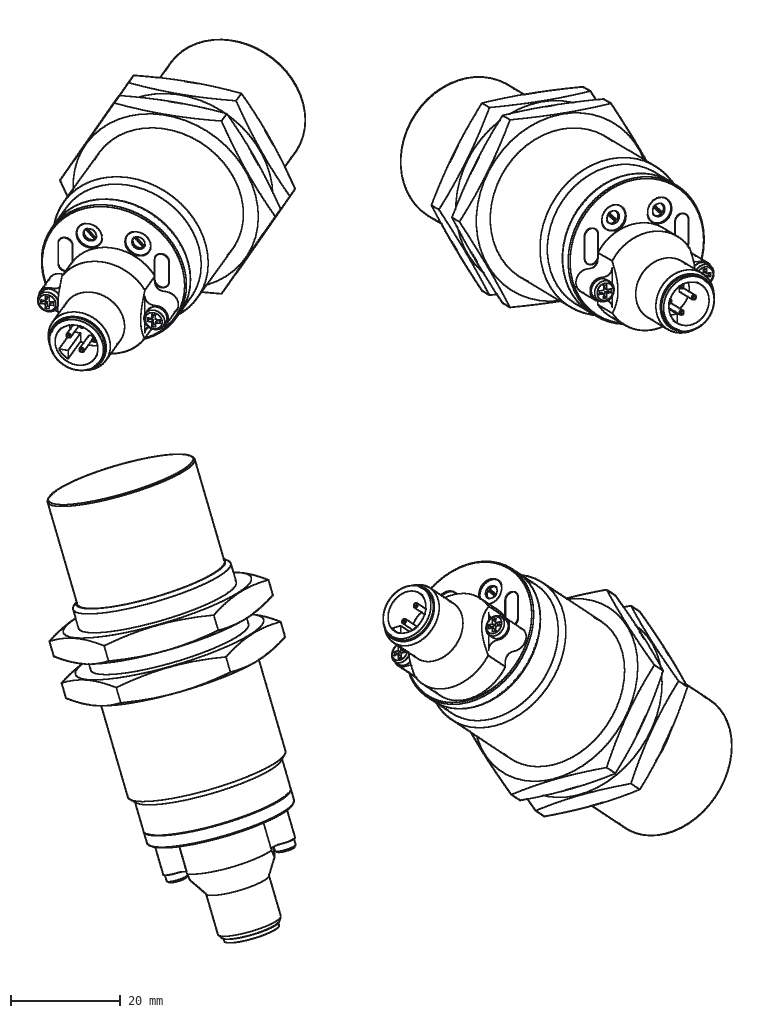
import cadquery as cq
import math


TOTAL_LENGTH = 87.0
HEAD_LENGTH = 20.0
REAR_FACE_Y = 20.5
CAP_LENGTH = 2.4
REAR_NECK_LENGTH = 8.4
CONE_BASE_Y = 15.0
CONE_TOP_Y = 9.5

TUBE_DIA = 30.0
HEAD_DIA = 28.0
SHOULDER_DIA = 28.4
SHOULDER_CHAMFER_LENGTH = 0.7
NECK_DIA = 28.0
NECK_CHAMFER = (TUBE_DIA - NECK_DIA) / 2
RIM_CHAMFER = 0.3
GROOVE_WIDTH = 0.1
GROOVE_DIA = 27.5

CONNECTOR_Z = -4.2
BARREL_DIA = 12.0
TIP_DIA = 10.4
TIP_LENGTH = 0.8
TIP_CHAMFER_DIA = 11.0
TIP_CHAMFER_LENGTH = 0.8
SOCKET_DIA = 8.3
SOCKET_DEPTH = 7.8
PIN_DIA = 1.0
PIN_CIRCLE_RADIUS = 2.5
PIN_COUNT = 4
PIN_RECESS = 2.7
PIN_CHAMFER = 0.22
KEY_OFFSET = 1.9
KEY_RECESS = 0.9

BLOCK_DIA = 19.0
BLOCK_WIDTH = 16.0
BLOCK_RISE = 0.2
CONE_BASE_RADIUS = BLOCK_DIA / 2

EAR_X = 10.3
EAR_RADIUS = 2.3
EAR_FILLET = 1.6
SCREW_DIA = 4.0
SCREW_HEAD_HEIGHT = 1.65
SCREW_CHAMFER = 0.35
CROSS_SPAN = 2.4
CROSS_ARM_WIDTH = 0.7
CROSS_DEPTH = 0.9

WINDOW_X = 9.3
WINDOW_Z = 2.3
WINDOW_WIDTH = 2.8
WINDOW_HEIGHT = 7.0
WINDOW_DEPTH = 0.2

ADJUSTER_X = 4.7
ADJUSTER_Z = 7.05
ADJUSTER_RECESS_DIA = 5.0
ADJUSTER_RECESS_DEPTH = 0.35
ADJUSTER_HOLE_DIA = 2.5
ADJUSTER_HOLE_DEPTH = 0.5
DRIVER_SLOT_WIDTH = 0.35
DRIVER_SLOT_DEPTH = 0.4
DRIVER_SLOT_ANGLE = 45

NUT_SIDES = 6
NUT_ACROSS_FLATS = 36.0
NUT_ACROSS_CORNERS = NUT_ACROSS_FLATS / math.cos(math.pi / NUT_SIDES)
NUT_THICKNESS = 5.05
NUT_FACE_DIA = 35.8
NUT_CHAMFER_HEIGHT = 1.05
NUT_START_POSITIONS = (49.5, 57.6)

SIDES = (-1, 1)


def plane_at(y, x=0.0, z=0.0):
    """Sketch plane normal to the axis: local x is X, local y is Z, extrusion goes toward -Y."""
    return cq.Workplane("XZ", origin=(x, y, z))


def cylinder(diameter, y_start, y_end, x=0.0, z=0.0):
    return plane_at(y_end, x, z).circle(diameter / 2).extrude(y_end - y_start)


def revolved(profile, z=0.0):
    """Turn a closed (radius, y) profile around a line parallel to Y at height z."""
    return cq.Workplane("XY", origin=(0, 0, z)).polyline(profile).close().revolve(360, (0, 0), (0, 1))


def make_tube():
    """Solid stepped tube: rear neck with a narrow groove, main diameter and sensing head."""
    head_start = TOTAL_LENGTH - HEAD_LENGTH
    tube_start = REAR_FACE_Y + REAR_NECK_LENGTH
    groove_start = REAR_FACE_Y + CAP_LENGTH
    head_radius = HEAD_DIA / 2
    neck_radius = NECK_DIA / 2
    return revolved([
        (0, REAR_FACE_Y),
        (neck_radius - RIM_CHAMFER, REAR_FACE_Y),
        (neck_radius, REAR_FACE_Y + RIM_CHAMFER),
        (neck_radius, groove_start),
        (GROOVE_DIA / 2, groove_start),
        (GROOVE_DIA / 2, groove_start + GROOVE_WIDTH),
        (neck_radius, groove_start + GROOVE_WIDTH),
        (neck_radius, tube_start),
        (TUBE_DIA / 2, tube_start + NECK_CHAMFER),
        (TUBE_DIA / 2, head_start - SHOULDER_CHAMFER_LENGTH),
        (SHOULDER_DIA / 2, head_start),
        (head_radius, head_start),
        (head_radius, TOTAL_LENGTH - RIM_CHAMFER),
        (head_radius - RIM_CHAMFER, TOTAL_LENGTH),
        (0, TOTAL_LENGTH),
    ])


def cut_windows(body):
    for side in SIDES:
        window = (
            plane_at(REAR_FACE_Y + WINDOW_DEPTH, side * WINDOW_X, WINDOW_Z)
            .slot2D(WINDOW_HEIGHT, WINDOW_WIDTH, 90)
            .extrude(WINDOW_DEPTH)
        )
        body = body.cut(window)
    return body


def cut_adjusters(body):
    recess_floor = REAR_FACE_Y + ADJUSTER_RECESS_DEPTH
    hole_floor = recess_floor + ADJUSTER_HOLE_DEPTH
    slot_floor = hole_floor + DRIVER_SLOT_DEPTH
    for side in SIDES:
        x = side * ADJUSTER_X
        recess = cylinder(ADJUSTER_RECESS_DIA, REAR_FACE_Y, recess_floor, x, ADJUSTER_Z)
        hole = cylinder(ADJUSTER_HOLE_DIA, recess_floor, hole_floor, x, ADJUSTER_Z)
        slot = (
            plane_at(slot_floor, x, ADJUSTER_Z)
            .transformed(rotate=(0, 0, -DRIVER_SLOT_ANGLE))
            .rect(ADJUSTER_HOLE_DIA, DRIVER_SLOT_WIDTH)
            .extrude(DRIVER_SLOT_DEPTH)
            .intersect(cylinder(ADJUSTER_HOLE_DIA, hole_floor, slot_floor, x, ADJUSTER_Z))
        )
        body = body.cut(recess).cut(hole).cut(slot)
    return body


def make_block():
    """Flat-sided block whose end tapers to the connector barrel."""
    outline = cylinder(BLOCK_DIA, CONE_TOP_Y, REAR_FACE_Y, z=CONNECTOR_Z + BLOCK_RISE)
    flats = (
        plane_at(REAR_FACE_Y, z=CONNECTOR_Z)
        .rect(BLOCK_WIDTH, 2 * BLOCK_DIA)
        .extrude(REAR_FACE_Y - CONE_TOP_Y)
    )
    taper = revolved([
        (0, CONE_TOP_Y),
        (BARREL_DIA / 2, CONE_TOP_Y),
        (CONE_BASE_RADIUS, CONE_BASE_Y),
        (CONE_BASE_RADIUS, REAR_FACE_Y),
        (0, REAR_FACE_Y),
    ], CONNECTOR_Z)
    return taper.intersect(outline).intersect(flats)


def make_ears():
    """Rounded ears on both block flats, joined to the flats by concave fillets."""
    flat_x = BLOCK_WIDTH / 2
    fillet_end_x = flat_x + EAR_FILLET
    root_z = EAR_RADIUS + EAR_FILLET
    mid = EAR_FILLET * (1 - math.sqrt(0.5))
    right_ear = (
        plane_at(REAR_FACE_Y, z=CONNECTOR_Z)
        .moveTo(0, root_z)
        .lineTo(flat_x, root_z)
        .threePointArc((flat_x + mid, EAR_RADIUS + mid), (fillet_end_x, EAR_RADIUS))
        .lineTo(EAR_X, EAR_RADIUS)
        .threePointArc((EAR_X + EAR_RADIUS, 0), (EAR_X, -EAR_RADIUS))
        .lineTo(fillet_end_x, -EAR_RADIUS)
        .threePointArc((flat_x + mid, -EAR_RADIUS - mid), (flat_x, -root_z))
        .lineTo(0, -root_z)
        .close()
        .extrude(REAR_FACE_Y - CONE_BASE_Y)
    )
    return right_ear.union(right_ear.mirror("YZ"))


def make_screw_head(x):
    top_y = CONE_BASE_Y - SCREW_HEAD_HEIGHT
    head = cylinder(SCREW_DIA, top_y, CONE_BASE_Y, x, CONNECTOR_Z).faces("<Y").chamfer(SCREW_CHAMFER)
    cross_plane = plane_at(top_y + CROSS_DEPTH, x, CONNECTOR_Z)
    for arm in ((CROSS_SPAN, CROSS_ARM_WIDTH), (CROSS_ARM_WIDTH, CROSS_SPAN)):
        head = head.cut(cross_plane.rect(*arm).extrude(CROSS_DEPTH))
    return head


def make_connector():
    """Barrel with an open socket that holds the contact pins and a keying rib."""
    barrel = revolved([
        (0, 0),
        (TIP_DIA / 2, 0),
        (TIP_DIA / 2, TIP_LENGTH),
        (TIP_CHAMFER_DIA / 2, TIP_LENGTH),
        (BARREL_DIA / 2, TIP_LENGTH + TIP_CHAMFER_LENGTH),
        (BARREL_DIA / 2, CONE_TOP_Y),
        (0, CONE_TOP_Y),
    ], CONNECTOR_Z)
    socket = cylinder(SOCKET_DIA, 0, SOCKET_DEPTH, z=CONNECTOR_Z)
    pins = (
        plane_at(SOCKET_DEPTH, z=CONNECTOR_Z)
        .polarArray(PIN_CIRCLE_RADIUS, 0, 360, PIN_COUNT)
        .circle(PIN_DIA / 2)
        .extrude(SOCKET_DEPTH - PIN_RECESS)
        .faces("<Y")
        .chamfer(PIN_CHAMFER)
    )
    key_size = SOCKET_DIA / 2 - KEY_OFFSET
    key_center = KEY_OFFSET + key_size / 2
    key = (
        plane_at(SOCKET_DEPTH, -key_center, CONNECTOR_Z - key_center)
        .rect(key_size, key_size)
        .extrude(SOCKET_DEPTH - KEY_RECESS)
        .intersect(socket)
    )
    return barrel.cut(socket).union(pins).union(key)


def make_housing():
    body = cut_adjusters(cut_windows(make_tube()))
    body = body.union(make_block()).union(make_ears())
    for side in SIDES:
        body = body.union(make_screw_head(side * EAR_X))
    return body.union(make_connector())


def make_nut(start_y):
    """Hexagonal nut with flats facing up and down and both faces chamfered at the corners."""
    end_y = start_y + NUT_THICKNESS
    corner_radius = NUT_ACROSS_CORNERS / 2
    face_radius = NUT_FACE_DIA / 2
    hexagon = plane_at(end_y).polygon(NUT_SIDES, NUT_ACROSS_CORNERS).extrude(NUT_THICKNESS)
    envelope = revolved([
        (0, start_y),
        (face_radius, start_y),
        (corner_radius, start_y + NUT_CHAMFER_HEIGHT),
        (corner_radius, end_y - NUT_CHAMFER_HEIGHT),
        (face_radius, end_y),
        (0, end_y),
    ])
    return hexagon.intersect(envelope).cut(cylinder(TUBE_DIA, start_y, end_y))


housing = make_housing()
nuts = [make_nut(start_y) for start_y in NUT_START_POSITIONS]

result = cq.Compound.makeCompound([housing.val(), *[nut.val() for nut in nuts]])